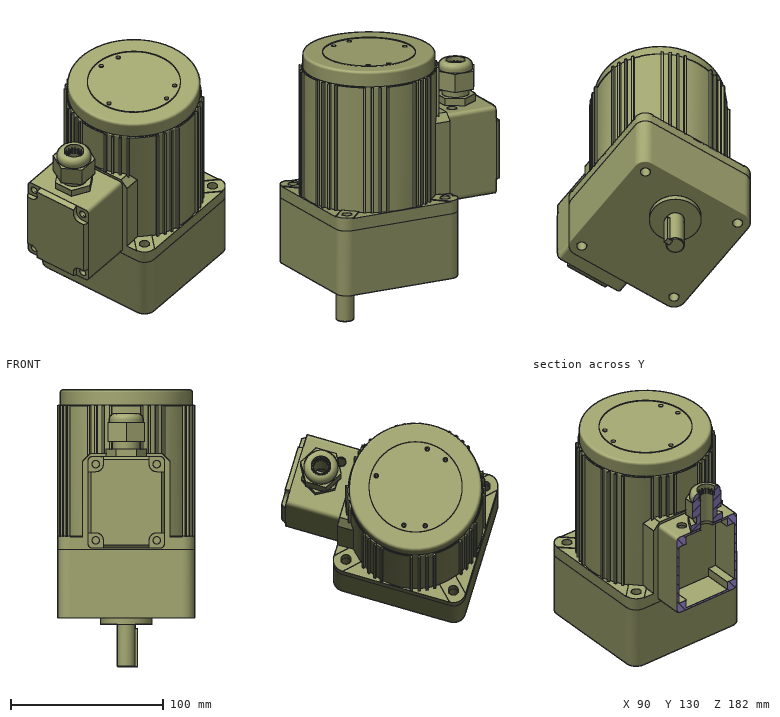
import cadquery as cq
import math


overall_height = 182.0

side = 90.0
half_side = side / 2
corner_radius = 8.0
gearbox_height = 45.0
gearbox_edge_fillet = 0.5
mount_hole_diameter = 6.5
mount_hole_offset = 36.8
boss_diameter = 34.0
boss_height = 4.0
shaft_offset = 18.0
shaft_diameter = 12.0
shaft_length = 32.0
shaft_chamfer = 0.5

key_width = 4.0
key_height = 4.0
key_length = 25.1
key_projection = 1.5
key_outer_x = shaft_diameter / 2 + key_projection

flange_thickness = 8.4
flange_top = gearbox_height + flange_thickness
corner_pad_width = 12.0
corner_pad_height = 0.5
stator_top = 139.8
stator_radius = 44.4
stator_edge_fillet = 0.5
rib_tip_radius = 46.0
rib_width = 1.5
rib_first_angle = 13.0
rib_pitch_angle = 6.5
ribs_per_group = 4
cover_radius = 43.5
motor_top = overall_height - shaft_length
cover_fillet = 1.8
top_recess_radius = 30.5
top_recess_depth = 0.5
dimple_circle_radius = 27.0
dimple_radius = 1.5
dimple_floor_radius = 0.7
dimple_depth = 1.1
dimple_angles = [0, 30, 150, 180, 270]
bracket_width = 57.3
bracket_top = 108.0
bracket_chamfer = 5.0

box_width = 50.0
box_height = 60.0
box_bottom = 46.0
box_top = box_bottom + box_height
overall_depth = 130.0
box_front_y = half_side - overall_depth
box_edge_fillet = 2.7
box_wall = 2.0
screw_post_size = 8.0
lid_thickness = 3.3
lid_chamfer = 1.8
lid_notch_size = 10.0
lid_screw_offset = lid_notch_size / 2
lid_screw_diameter = 5.0
lid_screw_depth = 10.0
vent_x = -13.1
vent_y = -55.0
vent_diameter = 6.4

gland_y = -64.8
base_hex_flats = 23.0
base_hex_height = 5.0
neck_radius = 9.0
neck_height = 5.0
nut_flats = 24.0
nut_height = 12.5
dome_radius = 11.3
dome_height = 5.8
dome_fillet = 4.0
mouth_radius = 6.4
mouth_depth = 3.0
gland_bore_radius = 5.0
claw_count = 18
claw_slope_height = 2.7
claw_slot_width = 0.5
claw_slot_depth = 3.6


def square_block(bottom, height):
    """Square block with rounded vertical corners, centred on the motor axis."""
    block = cq.Workplane("XY").workplane(offset=bottom).rect(side, side).extrude(height)
    return block.edges("|Z").fillet(corner_radius)


def mount_holes(bottom, height):
    """Cutter for the four corner holes of the gearbox and the motor flange."""
    pitch = 2 * mount_hole_offset
    holes = cq.Workplane("XY").workplane(offset=bottom).rect(pitch, pitch, forConstruction=True)
    return holes.vertices().circle(mount_hole_diameter / 2).extrude(height)


def make_key():
    """Flat shaft key: rounded upper end, square end flush with the shaft tip."""
    straight_length = key_length - key_width / 2
    half_width = key_width / 2
    key = (
        cq.Workplane("YZ", origin=(key_outer_x - key_height, shaft_offset, -shaft_length))
        .moveTo(-half_width, 0)
        .lineTo(half_width, 0)
        .lineTo(half_width, straight_length)
        .threePointArc((0, key_length), (-half_width, straight_length))
        .close()
        .extrude(key_height)
    )
    return key


def make_gearbox(key):
    """Gearbox with its output boss and shaft, which carries a keyway."""
    body = square_block(0, gearbox_height).faces("<Z").edges().fillet(gearbox_edge_fillet)
    body = body.cut(mount_holes(0, gearbox_height))
    output = cq.Workplane("XY", origin=(0, shaft_offset, 0))
    boss = output.circle(boss_diameter / 2).extrude(-boss_height)
    shaft = output.circle(shaft_diameter / 2).extrude(-shaft_length)
    shaft = shaft.faces("<Z").edges().chamfer(shaft_chamfer)
    return body.union(boss).union(shaft).cut(key)


def motor_flange():
    """Square flange with a raised pad strip across each corner."""
    flange = square_block(gearbox_height, flange_thickness)
    pad_blank = square_block(flange_top, corner_pad_height)
    strips = cq.Workplane("XY").workplane(offset=flange_top)
    for angle in (45, 135):
        strip = strips.transformed(rotate=(0, 0, angle)).rect(2 * side, corner_pad_width)
        flange = flange.union(pad_blank.intersect(strip.extrude(corner_pad_height)))
    return flange.cut(mount_holes(gearbox_height, flange_thickness + corner_pad_height))


def ribbed_stator():
    """Round stator with four groups of cooling ribs, trimmed to the square side."""
    height = stator_top - flange_top
    base = cq.Workplane("XY").workplane(offset=flange_top)
    stator = base.circle(stator_radius).extrude(height)
    for axis_angle in range(0, 360, 90):
        for index in range(ribs_per_group):
            for mirror in (-1, 1):
                angle = axis_angle + mirror * (rib_first_angle + index * rib_pitch_angle)
                turned = base.transformed(rotate=(0, 0, angle))
                rib = turned.center(rib_tip_radius / 2, 0).rect(rib_tip_radius, rib_width)
                stator = stator.union(rib.extrude(height))
    stator = stator.intersect(base.rect(side, side).extrude(height))
    return stator.faces(">Z").edges().fillet(stator_edge_fillet)


def end_cover():
    """Rounded end cover with a shallow round recess and conical dimples."""
    cover = cq.Workplane("XY").workplane(offset=stator_top).circle(cover_radius)
    cover = cover.extrude(motor_top - stator_top).faces(">Z").edges().fillet(cover_fillet)
    recess_floor = motor_top - top_recess_depth
    recess = cq.Workplane("XY").workplane(offset=recess_floor).circle(top_recess_radius)
    cover = cover.cut(recess.extrude(top_recess_depth))
    for angle in dimple_angles:
        x = dimple_circle_radius * math.cos(math.radians(angle))
        y = dimple_circle_radius * math.sin(math.radians(angle))
        bottom = cq.Vector(x, y, recess_floor - dimple_depth)
        dimple = cq.Solid.makeCone(dimple_floor_radius, dimple_radius, dimple_depth, bottom)
        cover = cover.cut(cq.Workplane(dimple))
    return cover


def box_bracket():
    """Flat-fronted bracket between the stator and the terminal box."""
    bracket = (
        cq.Workplane("XZ", origin=(0, -half_side, flange_top))
        .rect(bracket_width, 2 * (bracket_top - flange_top))
        .extrude(-half_side)
        .edges("|Y and >Z")
        .chamfer(bracket_chamfer)
    )
    above_flange = cq.Workplane("XY").workplane(offset=flange_top).rect(side, side)
    return bracket.intersect(above_flange.extrude(bracket_top - flange_top))


def make_motor():
    """Motor: flange, ribbed stator, end cover and terminal box bracket."""
    return motor_flange().union(ribbed_stator()).union(box_bracket()).union(end_cover())


def box_cavity(depth):
    """Cutter for the inside of the box, open at the motor, leaving four screw posts."""
    plane = cq.Workplane("XZ", origin=(0, -half_side, box_bottom + box_height / 2))
    inner_width = box_width - 2 * box_wall
    inner_height = box_height - 2 * box_wall
    width_between_posts = box_width - 2 * screw_post_size
    height_between_posts = box_height - 2 * screw_post_size
    tall_part = plane.rect(width_between_posts, inner_height).extrude(depth)
    return tall_part.union(plane.rect(inner_width, height_between_posts).extrude(depth))


def cut_lid_corner(box, x_sign, z_sign):
    """Cut the notch and the screw hole at one corner of the lid end."""
    screw_x = x_sign * (box_width / 2 - lid_screw_offset)
    screw_z = z_sign * (box_height / 2 - lid_screw_offset) + box_bottom + box_height / 2
    plane = cq.Workplane("XZ", origin=(screw_x, box_front_y + lid_thickness, screw_z))
    notch = plane.rect(lid_notch_size, lid_notch_size).extrude(lid_thickness)
    inner_x = "<X" if x_sign > 0 else ">X"
    inner_z = "<Z" if z_sign > 0 else ">Z"
    notch = notch.edges("|Y").edges(f"{inner_x} and {inner_z}").fillet(lid_screw_offset)
    screw_hole = plane.circle(lid_screw_diameter / 2).extrude(-lid_screw_depth)
    return box.cut(notch).cut(screw_hole)


def make_terminal_box():
    """Hollow terminal box with a bevelled front, notched at the corners for screws."""
    centre_z = box_bottom + box_height / 2
    depth = -half_side - box_front_y
    box = cq.Workplane("XZ", origin=(0, -half_side, centre_z)).rect(box_width, box_height)
    box = box.extrude(depth).edges("|Y").fillet(box_edge_fillet)
    box = box.faces("<Y").edges().chamfer(lid_thickness, lid_chamfer)

    for x_sign in (-1, 1):
        for z_sign in (-1, 1):
            box = cut_lid_corner(box, x_sign, z_sign)

    box = box.cut(box_cavity(depth - lid_thickness - box_wall))
    vent = cq.Workplane("XY", origin=(vent_x, vent_y, box_top)).circle(vent_diameter / 2)
    cable_hole = cq.Workplane("XY", origin=(0, gland_y, box_top)).circle(gland_bore_radius)
    return box.cut(vent.extrude(-box_wall)).cut(cable_hole.extrude(-box_wall))


def hexagon(bottom, height, flats, turn):
    """Hexagonal prism on the gland axis; turn = 0 puts corners on the X axis."""
    corners = flats / math.cos(math.radians(30))
    plane = cq.Workplane("XY", origin=(0, gland_y, bottom)).transformed(rotate=(0, 0, turn))
    return plane.polygon(6, corners).extrude(height)


def make_gland():
    """Cable gland: hexagon base, round neck, hexagon nut and dome, bored through."""
    neck_bottom = box_top + base_hex_height
    nut_bottom = neck_bottom + neck_height
    dome_bottom = nut_bottom + nut_height
    base = hexagon(box_top, base_hex_height, base_hex_flats, 0)
    neck = cq.Workplane("XY", origin=(0, gland_y, neck_bottom)).circle(neck_radius)
    nut = hexagon(nut_bottom, nut_height, nut_flats, 30)
    gland = base.union(neck.extrude(neck_height)).union(nut).union(gland_dome(dome_bottom))

    claw_top = dome_bottom + dome_height - mouth_depth
    bore = cq.Workplane("XY", origin=(0, gland_y, box_top)).circle(gland_bore_radius)
    return gland.cut(bore.extrude(claw_top - box_top)).cut(claw_gaps(claw_top))


def gland_dome(bottom):
    """Rounded end of the gland with a flat rim around its mouth."""
    plane = cq.Workplane("XY", origin=(0, gland_y, bottom))
    dome = plane.circle(dome_radius).extrude(dome_height)
    dome = dome.faces(">Z").edges().fillet(dome_fillet)
    mouth = plane.workplane(offset=dome_height).circle(mouth_radius)
    return dome.cut(mouth.extrude(-mouth_depth))


def claw_gaps(claw_top):
    """Cutter that shapes the clamping claws: a groove with a sloped inner side and radial slots."""
    gaps = (
        cq.Workplane("XZ", origin=(0, gland_y, 0))
        .moveTo(gland_bore_radius, claw_top)
        .lineTo(mouth_radius, claw_top)
        .lineTo(mouth_radius, claw_top - claw_slope_height)
        .close()
        .revolve(360, (0, 0), (0, 1))
    )
    base = cq.Workplane("XY", origin=(0, gland_y, claw_top))
    slot_length = mouth_radius - gland_bore_radius / 2
    slot_centre = mouth_radius - slot_length / 2
    for index in range(claw_count):
        turned = base.transformed(rotate=(0, 0, 360 / claw_count * index))
        slot = turned.center(slot_centre, 0).rect(slot_length, claw_slot_width)
        gaps = gaps.union(slot.extrude(-claw_slot_depth))
    return gaps


key = make_key()
gearbox = make_gearbox(key)
motor = make_motor()
terminal_box = make_terminal_box()
gland = make_gland()

bodies = (gearbox, key, motor, terminal_box, gland)
result = cq.Compound.makeCompound([body.solids().val() for body in bodies])